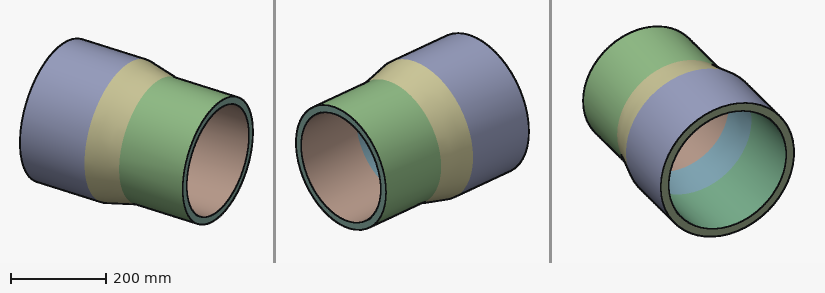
import cadquery as cq

total_length = 392.0
wide_length = 160.0
cone_length = 75.0

wide_outer_diameter = 315.0
wide_bore_diameter = 277.5
narrow_outer_diameter = 280.0
narrow_bore_diameter = 247.0

cone_start = wide_length
cone_end = wide_length + cone_length


def stepped_body(wide_diameter, narrow_diameter):
    """Solid of revolution about X: wide cylinder, cone, narrow cylinder."""
    wide_radius = wide_diameter / 2
    narrow_radius = narrow_diameter / 2
    return (
        cq.Workplane("XY")
        .polyline([
            (0, 0),
            (0, wide_radius),
            (cone_start, wide_radius),
            (cone_end, narrow_radius),
            (total_length, narrow_radius),
            (total_length, 0),
        ])
        .close()
        .revolve(360, (0, 0, 0), (1, 0, 0))
    )


outer_body = stepped_body(wide_outer_diameter, narrow_outer_diameter)
bore = stepped_body(wide_bore_diameter, narrow_bore_diameter)
result = outer_body.cut(bore)